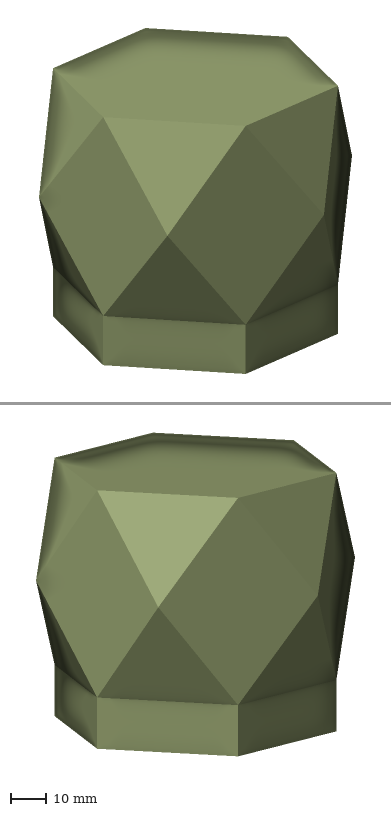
import cadquery as cq
import math

WAIST_RADIUS = 47.3
TOTAL_HEIGHT = 75.45
BASE_HEIGHT = 15.0
SIDES = 6

END_RADIUS = WAIST_RADIUS * math.cos(math.pi / SIDES)
WAIST_HEIGHT = (BASE_HEIGHT + TOTAL_HEIGHT) / 2
HALF_STEP = 180.0 / SIDES


def hexagon_corners(radius, height, start_angle):
    """Corners of a regular hexagon, counter-clockwise from start_angle in degrees."""
    angles = [math.radians(start_angle + 2 * HALF_STEP * i) for i in range(SIDES)]
    return [cq.Vector(radius * math.cos(a), radius * math.sin(a), height) for a in angles]


def flat_face(corners):
    return cq.Face.makeFromWires(cq.Wire.makePolygon(corners, close=True))


def faceted_body():
    """Two hexagonal ends joined by upright diamonds and sloping triangles."""
    bottom = hexagon_corners(END_RADIUS, BASE_HEIGHT, 0)
    waist = hexagon_corners(WAIST_RADIUS, WAIST_HEIGHT, HALF_STEP)
    top = hexagon_corners(END_RADIUS, TOTAL_HEIGHT, 0)

    faces = [flat_face(bottom[::-1]), flat_face(top)]
    for i in range(SIDES):
        following = (i + 1) % SIDES
        faces.append(flat_face([bottom[i], waist[i], top[i], waist[i - 1]]))
        faces.append(flat_face([waist[i], top[following], top[i]]))
        faces.append(flat_face([waist[i], bottom[i], bottom[following]]))
    return cq.Workplane(cq.Solid.makeSolid(cq.Shell.makeShell(faces)))


def hexagonal_base():
    """Straight prism matching the lower end of the faceted body."""
    return cq.Workplane("XY").polygon(SIDES, 2 * END_RADIUS).extrude(BASE_HEIGHT)


result = hexagonal_base().union(faceted_body())